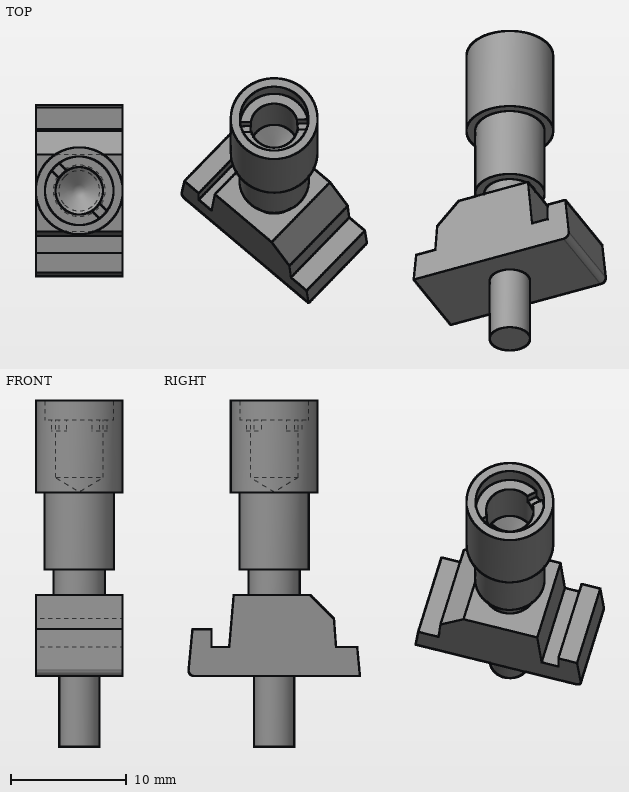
import cadquery as cq
import math

total_height = 29.9
head_diameter = 7.5
base_width = head_diameter

pin_diameter = 3.5
neck_diameter = 4.45
body_diameter = 6.0
base_bottom = 6.1
base_top = 13.13
body_bottom = 15.3
head_bottom = 21.95

recess_diameter = 5.92
recess_depth = 1.67
bore_diameter = 4.1
bore_depth = 5.0
bore_tip_angle = 118.0
slot_width = 0.93
slot_depth = 1.0
slot_angle = -45.0

back_y = 7.42
front_y = -7.45
back_lip_y = 7.18
back_step_y = 5.35
bevel_low_y = 5.17
bevel_high_y = 3.1
front_top_y = -3.5
groove_back_y = -3.9
groove_front_y = -5.38
hook_front_y = -7.05
floor_z = 8.65
hook_top_z = 10.17
bevel_low_z = 11.05
corner_radius = 0.5


def cylinder(diameter, bottom, top):
    return cq.Workplane("XY").workplane(offset=bottom).circle(diameter / 2).extrude(top - bottom)


def make_base():
    outline = [
        (back_y, base_bottom),
        (back_lip_y, floor_z),
        (back_step_y, floor_z),
        (bevel_low_y, bevel_low_z),
        (bevel_high_y, base_top),
        (front_top_y, base_top),
        (groove_back_y, floor_z),
        (groove_front_y, floor_z),
        (groove_front_y, hook_top_z),
        (hook_front_y, hook_top_z),
        (front_y, base_bottom),
    ]
    base = cq.Workplane("YZ").polyline(outline).close().extrude(base_width / 2, both=True)
    return base.edges("|X").edges("<Y").fillet(corner_radius)


def make_screw():
    pin = cylinder(pin_diameter, 0, base_bottom)
    neck = cylinder(neck_diameter, base_top, body_bottom)
    body = cylinder(body_diameter, body_bottom, head_bottom)
    head = cylinder(head_diameter, head_bottom, total_height)
    return pin, neck, body, head


def make_opening():
    recess_floor = total_height - recess_depth
    bore_bottom = recess_floor - bore_depth
    bore_radius = bore_diameter / 2
    tip_depth = bore_radius / math.tan(math.radians(bore_tip_angle / 2))
    recess = cylinder(recess_diameter, recess_floor, total_height)
    bore = (
        cq.Workplane("XZ")
        .moveTo(0, bore_bottom - tip_depth)
        .lineTo(bore_radius, bore_bottom)
        .lineTo(bore_radius, recess_floor)
        .lineTo(0, recess_floor)
        .close()
        .revolve(360, (0, 0, 0), (0, 1, 0))
    )
    slot = (
        cq.Workplane("XY")
        .workplane(offset=recess_floor - slot_depth)
        .rect(recess_diameter, slot_width)
        .extrude(slot_depth)
        .rotate((0, 0, 0), (0, 0, 1), slot_angle)
        .intersect(cylinder(recess_diameter, recess_floor - slot_depth, recess_floor))
    )
    return recess.union(bore).union(slot)


result = make_base()
for section in make_screw():
    result = result.union(section)
result = result.cut(make_opening())